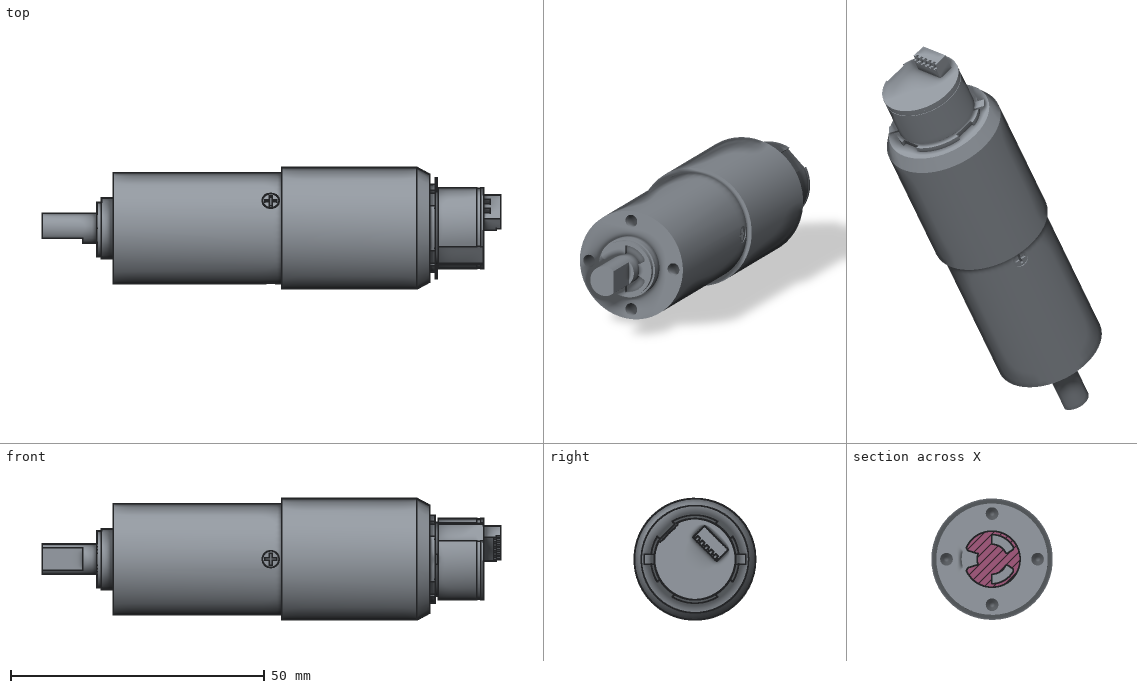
import cadquery as cq
import math

FLAT_END = 8.0
CLIP_START = 10.8
COLLAR_START = 11.7
FACE = 14.0
MOTOR_START = 47.3
MOTOR_CHAMFER_START = 74.0
MOTOR_END = 76.6
BEARING_RING_END = 77.6
ENCODER_START = 78.2
GROOVE_START = 85.8
GROOVE_END = 86.6
ENCODER_END = 87.2
CONNECTOR_END = 90.6

SHAFT_R = 3.0
SHAFT_FLAT_Y = -2.0
COLLAR_R = 6.0
GEARBOX_R = 11.0
MOUNT_HOLE_COUNT = 4
MOUNT_HOLE_R = 1.25
MOUNT_HOLE_DEPTH = 5.0
MOUNT_CIRCLE_R = 9.0
DRILL_TIP_SLOPE = 31.0
DRILL_TIP = MOUNT_HOLE_R * math.tan(math.radians(DRILL_TIP_SLOPE))

CLIP_R = 5.6
CLIP_WINDOW_R = 4.8
PRONG_EDGE_Y = -4.1
PRONG_OUTER_HALF_WIDTH = 1.9
PRONG_INNER_HALF_WIDTH = 1.2
MOUTH_INNER_HALF_WIDTH = 1.1
MOUTH_TIP_Y = 4.8
MOUTH_TIP_HALF_WIDTH = 1.65
MOUTH_RIM_HALF_WIDTH = 3.2

SCREW_X = 45.15
SCREW_COUNT = 3
SCREW_R = 1.65
SCREW_RECESS = 0.2
CROSS_LENGTH = 2.3
CROSS_WIDTH = 0.5
CROSS_DEPTH = 0.6

MOTOR_R = 12.0
MOTOR_REAR_R = 10.6
BEARING_RING_R = 8.7
NECK_R = 7.3
NOTCH_COUNT = 4
NOTCH_WIDTH = 4.2
NOTCH_FLOOR_R = 7.7
TERMINAL_SPAN = 20.0
TERMINAL_WIDTH = 2.0
TERMINAL_THICKNESS = 0.4

ENCODER_R = 8.05
GROOVE_DEPTH = 0.1
SLOT_WIDTH = 5.0
SLOT_FLOOR_R = 7.25
DIAGONAL = 45.0

CONNECTOR_WIDTH = 6.65
CONNECTOR_INNER_R = 2.75
CONNECTOR_OUTER_R = 6.0
LATCH_POSITIONS = (-1.45, 1.05)
LATCH_WIDTH = 1.2
LATCH_LENGTH = 1.3
LATCH_DEPTH = 1.2
LIP_LENGTH = 0.9
LIP_DEPTH = 0.4
CONTACT_COUNT = 5
CONTACT_PITCH = 1.25
CONTACT_WIDTH = 0.7
CONTACT_LENGTH = 1.4
CONTACT_DEPTH = 0.9


def cylinder(x_start, x_end, radius):
    """Round bar along X."""
    return cq.Workplane("YZ").workplane(offset=x_start).circle(radius).extrude(x_end - x_start)


def box(x_range, y_range, z_range):
    """Axis-aligned block given by its limits on each axis."""
    sizes = [high - low for low, high in (x_range, y_range, z_range)]
    corner = (x_range[0], y_range[0], z_range[0])
    return cq.Workplane("XY").box(*sizes, centered=False).translate(corner)


def about_axis(shape, angle):
    """Turn a shape about the X axis; positive angles carry +Y towards +Z."""
    return shape.rotate((0, 0, 0), (1, 0, 0), angle)


def make_clip():
    """E-shaped retaining clip, open towards +Y, with windows beside its middle prong."""
    clip = cylinder(CLIP_START, COLLAR_START, CLIP_R)
    thickness = COLLAR_START - CLIP_START
    plane = cq.Workplane("YZ").workplane(offset=CLIP_START)
    mouth_half = plane.polyline([
        (0, 0),
        (0, MOUTH_INNER_HALF_WIDTH),
        (SHAFT_R, MOUTH_INNER_HALF_WIDTH),
        (MOUTH_TIP_Y, MOUTH_TIP_HALF_WIDTH),
        (CLIP_R, MOUTH_RIM_HALF_WIDTH),
        (CLIP_R, 0),
    ]).close().extrude(thickness)

    window_end_z = math.sqrt(CLIP_WINDOW_R**2 - PRONG_EDGE_Y**2)
    middle_angle = (math.pi / 2 + math.atan2(window_end_z, PRONG_EDGE_Y)) / 2
    arc_middle = (CLIP_WINDOW_R * math.cos(middle_angle), CLIP_WINDOW_R * math.sin(middle_angle))
    window = (
        plane.moveTo(0, PRONG_INNER_HALF_WIDTH)
        .lineTo(0, CLIP_WINDOW_R)
        .threePointArc(arc_middle, (PRONG_EDGE_Y, window_end_z))
        .lineTo(PRONG_EDGE_Y, PRONG_OUTER_HALF_WIDTH)
        .lineTo(-SHAFT_R, PRONG_INNER_HALF_WIDTH)
        .close()
        .extrude(thickness)
    )
    for opening in (mouth_half, window):
        clip = clip.cut(opening).cut(opening.mirror("XY"))
    return clip


def make_mount_hole():
    """Blind drilled hole with a conical bottom, on the +Y side of the front face."""
    return (
        cq.Workplane("XY")
        .polyline([
            (FACE, 0),
            (FACE, MOUNT_HOLE_R),
            (FACE + MOUNT_HOLE_DEPTH, MOUNT_HOLE_R),
            (FACE + MOUNT_HOLE_DEPTH + DRILL_TIP, 0),
        ])
        .close()
        .revolve(360, (0, 0, 0), (1, 0, 0))
        .translate((0, MOUNT_CIRCLE_R, 0))
    )


def make_screw_recess():
    """Flat-bottomed recess with a cross slot, on the -Y side of the gearbox."""
    head_r = GEARBOX_R - SCREW_RECESS
    plane = cq.Workplane("XZ", origin=(SCREW_X, 0, 0))
    recess = plane.workplane(offset=head_r).circle(SCREW_R).extrude(SCREW_RECESS)
    slot_plane = plane.workplane(offset=head_r - CROSS_DEPTH)
    along = slot_plane.rect(CROSS_LENGTH, CROSS_WIDTH).extrude(CROSS_DEPTH)
    across = slot_plane.rect(CROSS_WIDTH, CROSS_LENGTH).extrude(CROSS_DEPTH)
    return recess.union(along).union(across)


def make_gearbox():
    gearbox = cylinder(FACE, MOTOR_START, GEARBOX_R)
    collar = cylinder(COLLAR_START, FACE, COLLAR_R)
    shaft = cylinder(0, FACE, SHAFT_R)
    shaft = shaft.cut(box((0, FLAT_END), (-SHAFT_R, SHAFT_FLAT_Y), (-SHAFT_R, SHAFT_R)))
    gearbox = gearbox.union(collar).union(make_clip()).union(shaft)
    for index in range(MOUNT_HOLE_COUNT):
        gearbox = gearbox.cut(about_axis(make_mount_hole(), 360 / MOUNT_HOLE_COUNT * index))
    for index in range(SCREW_COUNT):
        gearbox = gearbox.cut(about_axis(make_screw_recess(), 360 / SCREW_COUNT * index))
    return gearbox


def make_motor():
    motor = (
        cq.Workplane("XY")
        .polyline([
            (MOTOR_START, 0),
            (MOTOR_START, MOTOR_R),
            (MOTOR_CHAMFER_START, MOTOR_R),
            (MOTOR_END, MOTOR_REAR_R),
            (MOTOR_END, BEARING_RING_R),
            (BEARING_RING_END, BEARING_RING_R),
            (BEARING_RING_END, NECK_R),
            (ENCODER_START, NECK_R),
            (ENCODER_START, 0),
        ])
        .close()
        .revolve(360, (0, 0, 0), (1, 0, 0))
    )
    notch = box(
        (MOTOR_END, BEARING_RING_END),
        (NOTCH_FLOOR_R, BEARING_RING_R),
        (-NOTCH_WIDTH / 2, NOTCH_WIDTH / 2),
    )
    for index in range(NOTCH_COUNT):
        motor = motor.cut(about_axis(notch, DIAGONAL + 360 / NOTCH_COUNT * index))
    terminals = box(
        (BEARING_RING_END, BEARING_RING_END + TERMINAL_THICKNESS),
        (-TERMINAL_SPAN / 2, TERMINAL_SPAN / 2),
        (-TERMINAL_WIDTH / 2, TERMINAL_WIDTH / 2),
    )
    return motor.union(terminals)


def make_connector():
    """Connector laid out on the +Y side, before it is turned onto the diagonal."""
    half_width = CONNECTOR_WIDTH / 2
    connector = box(
        (ENCODER_END, CONNECTOR_END),
        (CONNECTOR_INNER_R, CONNECTOR_OUTER_R),
        (-half_width, half_width),
    )
    for position in LATCH_POSITIONS:
        connector = connector.cut(box(
            (ENCODER_END, ENCODER_END + LATCH_LENGTH),
            (CONNECTOR_OUTER_R - LATCH_DEPTH, CONNECTOR_OUTER_R),
            (position - LATCH_WIDTH / 2, position + LATCH_WIDTH / 2),
        ))
    connector = connector.cut(box(
        (CONNECTOR_END - LIP_LENGTH, CONNECTOR_END),
        (CONNECTOR_INNER_R, CONNECTOR_INNER_R + LIP_DEPTH),
        (-half_width, half_width),
    ))
    for index in range(CONTACT_COUNT):
        position = CONTACT_PITCH * (index - (CONTACT_COUNT - 1) / 2)
        connector = connector.cut(box(
            (CONNECTOR_END - CONTACT_LENGTH, CONNECTOR_END),
            (CONNECTOR_INNER_R, CONNECTOR_INNER_R + CONTACT_DEPTH),
            (position - CONTACT_WIDTH / 2, position + CONTACT_WIDTH / 2),
        ))
    return connector


def make_encoder():
    encoder = cylinder(ENCODER_START, ENCODER_END, ENCODER_R)
    groove = cylinder(GROOVE_START, GROOVE_END, ENCODER_R)
    groove = groove.cut(cylinder(GROOVE_START, GROOVE_END, ENCODER_R - GROOVE_DEPTH))
    slot = box(
        (ENCODER_START, ENCODER_END),
        (SLOT_FLOOR_R, ENCODER_R),
        (-SLOT_WIDTH / 2, SLOT_WIDTH / 2),
    )
    encoder = encoder.cut(groove).cut(about_axis(slot, 180 - DIAGONAL))
    return encoder.union(about_axis(make_connector(), DIAGONAL))


gearbox = make_gearbox()
motor = make_motor()
encoder = make_encoder()

result = cq.Compound.makeCompound([gearbox.val(), motor.val(), encoder.val()])